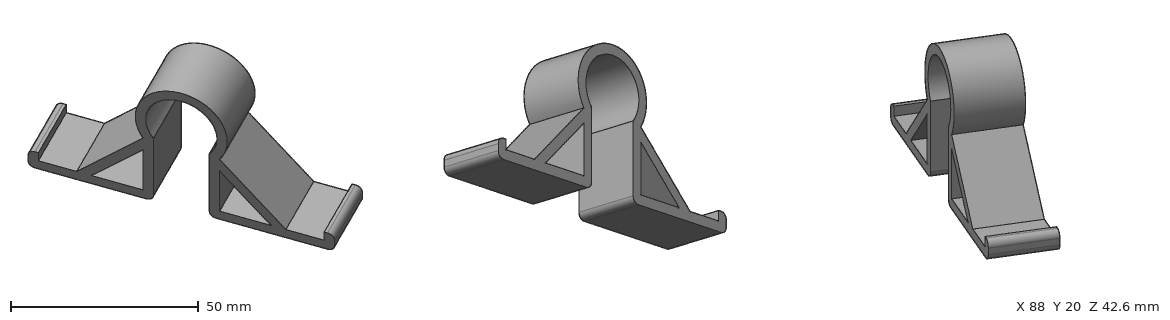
import cadquery as cq
import math

length = 88.0
height = 42.6
width = 20.0
wall = 3.0
ring_radius = 13.2
mouth_half_width = 8.0
lip_height = 6.0
edge_radius = 2.0
strut_foot_x = 30.0

bore_radius = ring_radius - wall
ring_center_z = height - ring_radius
foot_end_x = length / 2
leg_outer_x = mouth_half_width + wall
bore_end_z = ring_center_z - math.sqrt(bore_radius**2 - mouth_half_width**2)
ring_end_z = ring_center_z - math.sqrt(ring_radius**2 - leg_outer_x**2)
window_foot_x = strut_foot_x - wall * math.sqrt(2)
window_top_z = wall + window_foot_x - leg_outer_x


def extrude(sketch):
    """Extrude an XZ profile across the full width, centred on Y."""
    return sketch.extrude(width / 2, both=True)


def make_ring():
    """Round clamp band, open at the bottom between the two legs."""
    profile = (
        cq.Workplane("XZ")
        .moveTo(-leg_outer_x, ring_end_z)
        .threePointArc((0, height), (leg_outer_x, ring_end_z))
        .lineTo(mouth_half_width, bore_end_z)
        .threePointArc((0, ring_center_z + bore_radius), (-mouth_half_width, bore_end_z))
        .close()
    )
    return extrude(profile)


def make_support():
    """Right-hand leg, strut and lipped foot with a triangular window."""
    outline = (
        cq.Workplane("XZ")
        .moveTo(mouth_half_width, 0)
        .lineTo(foot_end_x, 0)
        .lineTo(foot_end_x, lip_height)
        .lineTo(foot_end_x - wall, lip_height)
        .lineTo(foot_end_x - wall, wall)
        .lineTo(strut_foot_x, wall)
        .lineTo(leg_outer_x, ring_end_z)
        .lineTo(mouth_half_width, bore_end_z)
        .close()
    )
    rounded_corners = [
        (mouth_half_width, 0, 0),
        (foot_end_x, 0, 0),
        (foot_end_x, 0, lip_height),
    ]
    support = extrude(outline)
    for corner in rounded_corners:
        support = support.edges(cq.selectors.NearestToPointSelector(corner)).fillet(edge_radius)

    window = cq.Workplane("XZ").polyline([
        (leg_outer_x, wall),
        (window_foot_x, wall),
        (leg_outer_x, window_top_z),
    ]).close()
    return support.cut(extrude(window))


right_support = make_support()
left_support = right_support.mirror("YZ")
result = make_ring().union(right_support).union(left_support)